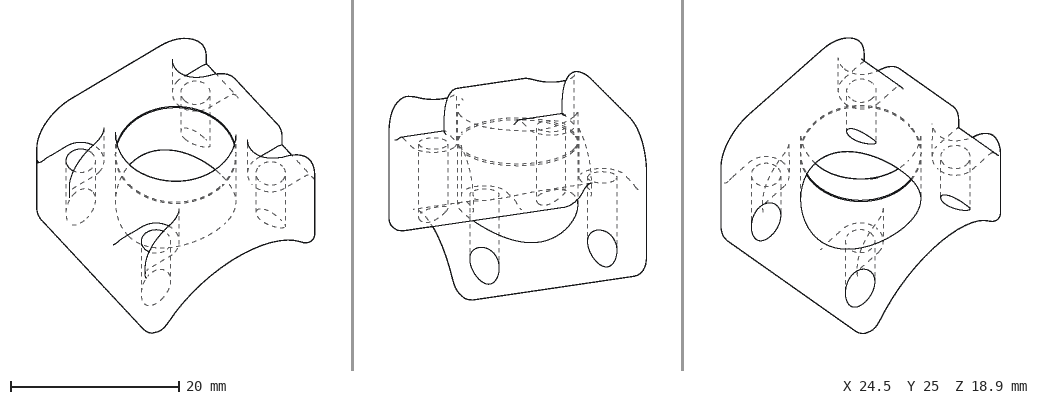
import cadquery as cq

length_x = 24.5
width_y = 25.0
top_z = 25.0
saddle_radius = 12.5
shoulder_radius = 6.0
side_rounding = 2.0
bottom_rounding = 1.0

bore_radius = 7.15
bore_rounding = 0.5
groove_z = 20.4
groove_depth = 0.05
groove_profile_radius = 0.18

screw_x = 7.5
screw_y = 8.5
screw_hole_diameter = 3.5
screw_corners = [(-1, -1), (-1, 1), (1, -1), (1, 1)]

pocket_floor_z = 18.0
pocket_rounding = 0.5
lip_rounding = 1.0
wall_overlap = 0.005
pocket_radius = length_x / 2 - side_rounding - screw_x + wall_overlap


def round_edge_near(body, point, radius):
    """Round the edge closest to a point, together with the edges that continue it smoothly."""
    target = cq.Vector(*point)
    edge = min(body.edges().vals(), key=lambda candidate: (candidate.Center() - target).Length)
    return body.newObject([edge]).fillet(radius)


def saddle_core():
    """Block with rounded shoulders and sides on a saddle, smaller all round by the bottom rounding."""
    inset = bottom_rounding
    block = (
        cq.Workplane("XY")
        .box(length_x - 2 * inset, width_y - 2 * inset, top_z - inset, centered=(True, True, False))
        .edges("|X and >Z")
        .fillet(shoulder_radius - inset)
    )
    block = block.faces("<X or >X").edges("not <Z").fillet(side_rounding - inset)
    saddle = cq.Workplane("YZ").circle(saddle_radius + inset).extrude(length_x, both=True)
    return block.cut(saddle)


def saddle_block():
    """Core grown outward to full size, which rounds its sharp lower edges by the amount of growth."""
    grown = saddle_core().shell(bottom_rounding, kind="arc").solids().val()
    outer_skin = grown.Shells()[0]
    return cq.Workplane(cq.Solid.makeSolid(outer_skin))


def cut_pocket(body, side_x, side_y):
    """Cut one round-ended pocket, open above and to one Y side, and round its rim.

    It goes deeper than the lip rounding; the floor is filled in afterwards.
    """
    bottom_z = pocket_floor_z - 2 * lip_rounding
    depth = top_z - bottom_z
    bottom = cq.Workplane("XY", origin=(side_x * screw_x, side_y * screw_y, bottom_z))
    round_end = bottom.circle(pocket_radius).extrude(depth)
    run_out = bottom.center(0, side_y * screw_y / 2).rect(2 * pocket_radius, screw_y).extrude(depth)
    body = body.cut(round_end.union(run_out))
    rim_point = (side_x * screw_x, side_y * (screw_y - pocket_radius), top_z)
    return round_edge_near(body, rim_point, pocket_rounding)


def floor_slab():
    """Everything up to the pocket floors, with the lips along both Y sides rounded."""
    return (
        cq.Workplane("XY")
        .box(length_x, width_y, pocket_floor_z, centered=(True, True, False))
        .edges("|X and >Z")
        .fillet(lip_rounding)
    )


block = saddle_block()
body = block
for side_x, side_y in screw_corners:
    body = cut_pocket(body, side_x, side_y)
body = body.union(block.intersect(floor_slab()))

body = body.cut(cq.Workplane("XY").circle(bore_radius).extrude(top_z))
body = round_edge_near(body, (0, bore_radius, top_z), bore_rounding)

ring_radius = bore_radius + groove_depth - groove_profile_radius
groove_ring = cq.Solid.makeTorus(ring_radius, groove_profile_radius, cq.Vector(0, 0, groove_z))
body = body.cut(cq.Workplane(groove_ring))

screw_centers = [(side_x * screw_x, side_y * screw_y) for side_x, side_y in screw_corners]
screw_holes = cq.Workplane("XY").pushPoints(screw_centers).circle(screw_hole_diameter / 2).extrude(top_z)
result = body.cut(screw_holes)